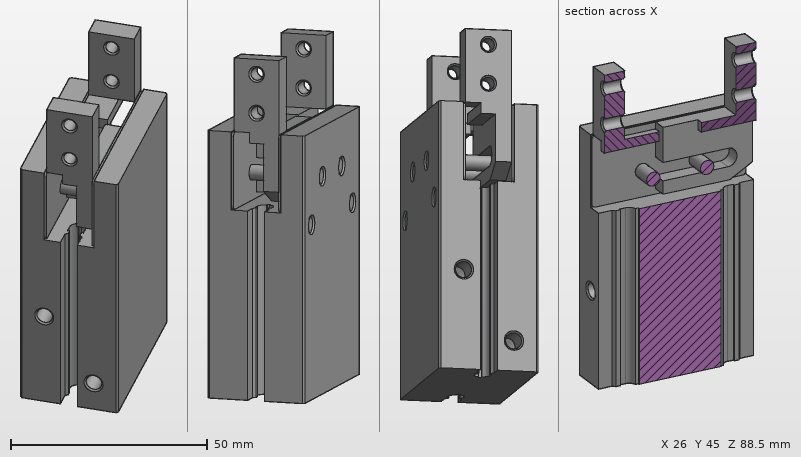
import cadquery as cq
import math

HOUSING_X = 26.0
HOUSING_Y = 45.0
HOUSING_Z = 69.4
CORNER_CHAMFER = 0.5

FINGER_WIDTH = 12.1
FINGER_TOP_Z = 88.5
FINGER_OUTER_Y = 21.95
THUMB_THICKNESS = 5.9
THUMB_HOLE_DIAMETER = 3.3
THUMB_HOLE_MOUTH = 4.2
THUMB_HOLE_ZS = (74.5, 84.6)
BRIDGE_BOTTOM_Z = 66.6
BRIDGE_INNER_Y = 6.1
ARM_WIDTH = 4.2
ARM_TIP_REACH = 4.0
ARM_BOTTOM_Z = 50.7
ARM_HEEL_Z = 54.3
ARM_HEEL_LENGTH = 6.55
ARM_SLOT_HEIGHT = 5.1
ARM_SLOT_Z = 57.0
ARM_SLOT_END_Y = 14.9

SLOT_FLOOR_Z = 49.1
PAD_THICKNESS = 0.575
PAD_CORNER_RADIUS = 1.0
PAD_SETBACK = 0.2
SLOT_WIDTH = FINGER_WIDTH + 2 * PAD_THICKNESS

PIN_DIAMETER = 4.0
PIN_Y = 7.8
PIN_Z = 56.5

GROOVE_MOUTH_WIDTH = 4.5
GROOVE_MOUTH_DEPTH = 4.0
GROOVE_NECK_WIDTH = 3.1
GROOVE_BORE_DIAMETER = 4.2
GROOVE_SHOULDER_DEPTH = 6.0
GROOVE_BORE_DEPTH = 7.7
GROOVE_SLIT_WIDTH = 0.9
GROOVE_SLIT_DEPTH = 10.6

PORT_DIAMETER = 4.2
PORT_MOUTH_DIAMETER = 5.05
PORT_DEPTH = 8.0
PORT_POINT_ANGLE = 118
PORT_X = 6.55
PORT_UPPER_Z = 25.8
PORT_LOWER_Z = 7.9
LOWER_DIMPLE_Y = 16.55
LOWER_DIMPLE_Z = 45.4


def box(x_range, y_range, z_range):
    """Box that spans the given low and high limits along each axis."""
    lows, highs = zip(x_range, y_range, z_range)
    sizes = [high - low for low, high in zip(lows, highs)]
    return cq.Workplane("XY").box(*sizes, centered=False).translate(lows)


def half_turn(shape):
    return shape.rotate((0, 0, 0), (0, 0, 1), 180)


def cone_cut(start, axis, start_diameter, end_diameter, length):
    cone = cq.Solid.makeCone(
        start_diameter / 2, end_diameter / 2, length, cq.Vector(*start), cq.Vector(*axis)
    )
    return cq.Workplane(obj=cone)


def countersink(start, axis, mouth, diameter):
    """45 degree cone that narrows from the mouth to the given diameter."""
    return cone_cut(start, axis, mouth, diameter, (mouth - diameter) / 2)


def cylinder_along_x(x_range, y, z, diameter):
    low, high = x_range
    return (
        cq.Workplane("YZ", origin=(low, 0, 0))
        .center(y, z)
        .circle(diameter / 2)
        .extrude(high - low)
    )


def cylinder_along_y(y_range, x, z, diameter):
    low, high = y_range
    axis = cq.Vector(0, 1, 0)
    return cq.Workplane(obj=cq.Solid.makeCylinder(diameter / 2, high - low, cq.Vector(x, low, z), axis))


def make_groove():
    """Groove in the -Y face: wide mouth, tapered neck, round-bottomed chamber and a slit."""
    face_y = -HOUSING_Y / 2
    mouth = GROOVE_MOUTH_WIDTH / 2
    neck = GROOVE_NECK_WIDTH / 2
    chamber = GROOVE_BORE_DIAMETER / 2
    taper_y = face_y + GROOVE_MOUTH_DEPTH
    neck_y = taper_y + mouth - neck
    shoulder_y = face_y + GROOVE_SHOULDER_DEPTH
    bore_y = face_y + GROOVE_BORE_DEPTH
    entry = (
        cq.Workplane("XY")
        .moveTo(-mouth, face_y)
        .lineTo(mouth, face_y)
        .lineTo(mouth, taper_y)
        .lineTo(neck, neck_y)
        .lineTo(neck, shoulder_y)
        .lineTo(chamber, shoulder_y)
        .lineTo(chamber, bore_y)
        .threePointArc((0, bore_y + chamber), (-chamber, bore_y))
        .lineTo(-chamber, shoulder_y)
        .lineTo(-neck, shoulder_y)
        .lineTo(-neck, neck_y)
        .lineTo(-mouth, taper_y)
        .close()
        .extrude(HOUSING_Z)
    )
    half_slit = GROOVE_SLIT_WIDTH / 2
    slit = box((-half_slit, half_slit), (bore_y, face_y + GROOVE_SLIT_DEPTH), (0, HOUSING_Z))
    return entry.union(slit)


def make_pad():
    """Raised pad with rounded corners on the -X wall of the slot."""
    wall_x = -SLOT_WIDTH / 2
    end_y = HOUSING_Y / 2 - PAD_SETBACK
    pad = box((wall_x, wall_x + PAD_THICKNESS), (-end_y, end_y), (SLOT_FLOOR_Z, HOUSING_Z - PAD_SETBACK))
    return pad.edges("|X").fillet(PAD_CORNER_RADIUS)


def make_port(x, z):
    """Countersunk blind hole with a drill point, entering from the -Y face."""
    face_y = -HOUSING_Y / 2
    floor_y = face_y + PORT_DEPTH
    point_length = PORT_DIAMETER / 2 / math.tan(math.radians(PORT_POINT_ANGLE / 2))
    bore = cylinder_along_y((face_y, floor_y), x, z, PORT_DIAMETER)
    sink = countersink((x, face_y, z), (0, 1, 0), PORT_MOUTH_DIAMETER, PORT_DIAMETER)
    point = cone_cut((x, floor_y, z), (0, 1, 0), PORT_DIAMETER, 0, point_length)
    return bore.union(sink).union(point)


def make_housing():
    """Housing with its pads and guide pins."""
    half_slot = SLOT_WIDTH / 2
    half_y = HOUSING_Y / 2
    body = (
        cq.Workplane("XY")
        .box(HOUSING_X, HOUSING_Y, HOUSING_Z, centered=(True, True, False))
        .edges("|Z")
        .chamfer(CORNER_CHAMFER)
    )
    body = body.cut(box((-half_slot, half_slot), (-half_y, half_y), (SLOT_FLOOR_Z, HOUSING_Z)))

    groove = make_groove()
    body = body.cut(groove).cut(half_turn(groove))

    pad = make_pad()
    body = body.union(pad).union(half_turn(pad))

    for side in (-1, 1):
        body = body.union(cylinder_along_x((-half_slot, half_slot), side * PIN_Y, PIN_Z, PIN_DIAMETER))

    for side in (-1, 1):
        for y, z in ((PIN_Y, PIN_Z), (LOWER_DIMPLE_Y, LOWER_DIMPLE_Z)):
            start = (-HOUSING_X / 2, side * y, z)
            body = body.cut(countersink(start, (1, 0, 0), PORT_MOUTH_DIAMETER, PORT_DIAMETER))

    for x, z in ((-PORT_X, PORT_UPPER_Z), (PORT_X, PORT_LOWER_Z)):
        body = body.cut(make_port(x, z))
    return body


def make_arm(inner_x, outer_x):
    """Arm with a sloped heel and a slot that is round at its heel end and open at its tip."""
    slot_low = ARM_SLOT_Z - ARM_SLOT_HEIGHT / 2
    slot_high = ARM_SLOT_Z + ARM_SLOT_HEIGHT / 2
    slot_end_y = -ARM_SLOT_END_Y - ARM_SLOT_HEIGHT / 2
    return (
        cq.Workplane("YZ", origin=(inner_x, 0, 0))
        .moveTo(-FINGER_OUTER_Y, HOUSING_Z)
        .lineTo(-FINGER_OUTER_Y, ARM_HEEL_Z)
        .lineTo(-FINGER_OUTER_Y + ARM_HEEL_LENGTH, ARM_BOTTOM_Z)
        .lineTo(ARM_TIP_REACH, ARM_BOTTOM_Z)
        .lineTo(ARM_TIP_REACH, slot_low)
        .lineTo(-ARM_SLOT_END_Y, slot_low)
        .threePointArc((slot_end_y, ARM_SLOT_Z), (-ARM_SLOT_END_Y, slot_high))
        .lineTo(ARM_TIP_REACH, slot_high)
        .lineTo(ARM_TIP_REACH, HOUSING_Z)
        .close()
        .extrude(outer_x - inner_x)
    )


def make_finger():
    """Finger on the -Y side, with its arm along the +X wall of the slot."""
    half = FINGER_WIDTH / 2
    arm_x = half - ARM_WIDTH
    outer_y = -FINGER_OUTER_Y
    inner_y = outer_y + THUMB_THICKNESS

    thumb = box((-half, half), (outer_y, inner_y), (HOUSING_Z, FINGER_TOP_Z))
    bridge = box((-arm_x, arm_x), (outer_y, -BRIDGE_INNER_Y), (BRIDGE_BOTTOM_Z, HOUSING_Z))
    finger = make_arm(arm_x, half).union(bridge).union(thumb)

    for z in THUMB_HOLE_ZS:
        finger = finger.cut(cylinder_along_y((outer_y, inner_y), 0, z, THUMB_HOLE_DIAMETER))
        for y, direction in ((outer_y, 1), (inner_y, -1)):
            sink = countersink((0, y, z), (0, direction, 0), THUMB_HOLE_MOUTH, THUMB_HOLE_DIAMETER)
            finger = finger.cut(sink)
    return finger


housing = make_housing()
fingers = [make_finger().rotate((0, 0, 0), (0, 0, 1), angle) for angle in (0, 180)]

result = cq.Compound.makeCompound([housing.solids().val(), *[finger.solids().val() for finger in fingers]])